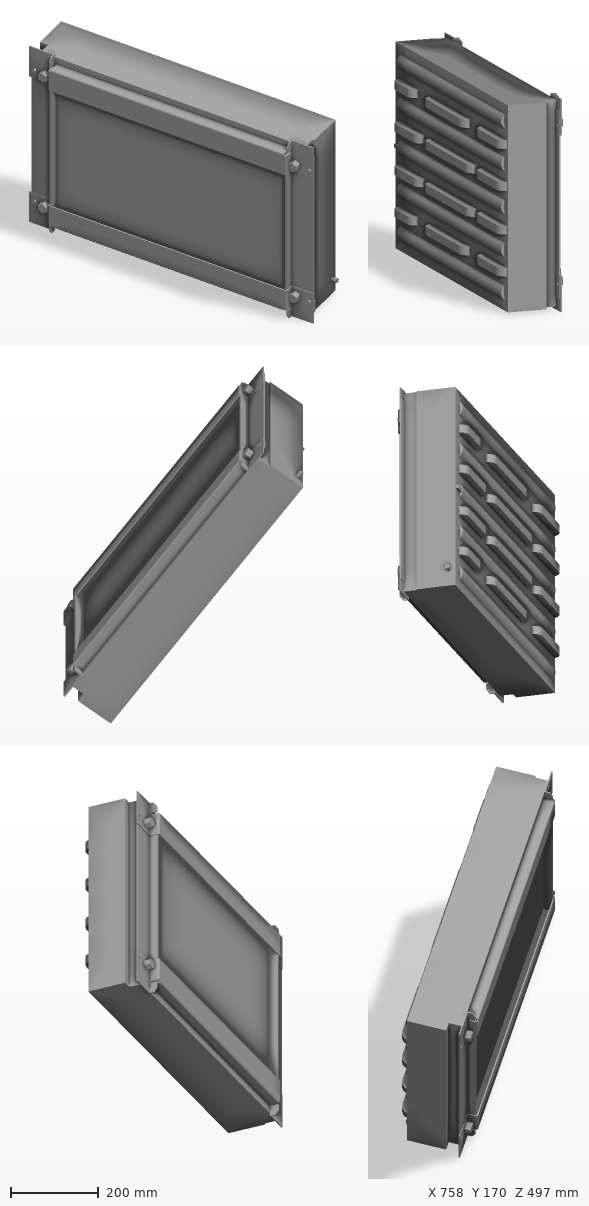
import cadquery as cq
import math

louver_back = 85.0
housing_back = 67.0
shoulder_y = -26.5
housing_front = -58.5
frame_back = -56.0
frame_front = -60.0
flange_back = housing_front
flange_front = -61.5
wall_front = -80.5
bracket_front = -85.0

housing_left, housing_right = -371.5, 359.0
neck_left, neck_right = -350.0, 354.0
housing_half_height = 241.0
frame_left, frame_right = -374.0, 377.0
frame_half_height = 219.0
flange_left = -379.0
bracket_left, bracket_right = -315.5, 320.0
overall_height = 497.0
bracket_low, bracket_high = 163.0, overall_height / 2

sheet = 3.0
frame_wall = 4.5
frame_wall_setback = 2.0
bend_radius = 4.5
lip_top = 222.0
lip_end_gap = 7.5
notch_back = -64.5
ear_top_front = -71.0
ear_front = -80.0
ear_chamfer_height = 11.0

fastener_z = 185.0
flange_hole_diameter = 11.0
frame_hole_diameter = 7.5
hole_left_x, hole_right_x = -365.5, 368.5
bolt_left_x, bolt_right_x = -335.0, 330.5
bolt_across_flats = 21.0
bolt_front = -77.0

rib_left, rib_right = neck_left, 328.0
rib_height = 8.0
rib_chord = 33.0
rib_pitch = 100.0
rib_count = 5
tab_right = 355.0
tab_height = 6.0
tab_width = 9.0
louver_end_radius = 23.0
louver_root = 7.5
louver_width = 20.0
outer_louver_z, inner_louver_z = 149.0, 51.0
outer_louver_spans = ((-367.0, -202.0), (-126.0, 135.0), (212.0, 335.0))
inner_louver_spans = ((-367.0, -202.0), (-166.0, 135.0), (172.0, 335.0))

stud_diameter = 11.0
stud_end = 373.0
stud_y = 51.5
catch_end = 379.0
catch_left = 374.5
catch_low, catch_high = -215.0, -183.5


def block(x0, x1, y0, y1, z0, z1):
    """Box given by its limits along each axis."""
    size = (x1 - x0, y1 - y0, z1 - z0)
    return cq.Workplane("XY").box(*size, centered=False).translate((x0, y0, z0))


def along_y(plane_y):
    """Sketch plane with local axes X and Z, extruding toward -Y."""
    return cq.Workplane("XZ", origin=(0, plane_y, 0))


def make_housing():
    """Deep rear box and the narrower neck in front of it."""
    h = housing_half_height
    rear = block(housing_left, housing_right, shoulder_y, housing_back, -h, h)
    neck = block(neck_left, neck_right, housing_front, shoulder_y, -h, h)
    return rear.union(neck)


def make_frame():
    """Mounting flange and forward side wall at each side of the recessed panel."""
    h = frame_half_height
    wall_left = bracket_left + frame_wall_setback
    wall_right = bracket_right - frame_wall_setback
    left = block(frame_left, wall_left, frame_front, frame_back, -h, h)
    right = block(wall_right, frame_right, frame_front, frame_back, -h, h)
    left_wall = block(wall_left, wall_left + frame_wall, wall_front, frame_back, -h, h)
    right_wall = block(wall_right - frame_wall, wall_right, wall_front, frame_back, -h, h)
    return left.union(right).union(left_wall).union(right_wall)


def make_ear(x0):
    """Bracket side wall with a chamfered outer corner."""
    outline = [
        (flange_back, bracket_low),
        (ear_front, bracket_low),
        (ear_front, bracket_high - ear_chamfer_height),
        (ear_top_front, bracket_high),
        (flange_back, bracket_high),
    ]
    return cq.Workplane("YZ", origin=(x0, 0, 0)).polyline(outline).close().extrude(sheet)


def make_bracket():
    """Upper bracket: two flanges, two ears and a front strap with a folded-back lip."""
    strap_top = lip_top - bend_radius
    inner_bend = bend_radius - sheet

    hat = block(bracket_left, bracket_right, bracket_front, flange_back, bracket_low, strap_top)
    hat = hat.edges("|Z and <Y").fillet(bend_radius)
    hollow = block(bracket_left + sheet, bracket_right - sheet, bracket_front + sheet,
                   flange_back, bracket_low, strap_top)
    hat = hat.cut(hollow.edges("|Z and <Y").fillet(inner_bend))

    lip_left = bracket_left + lip_end_gap
    lip_right = bracket_right - lip_end_gap
    lip = block(lip_left, lip_right, bracket_front, housing_front, bracket_low, lip_top)
    lip = lip.edges("|X and <Y and >Z").fillet(bend_radius)
    under_lip = block(lip_left, lip_right, bracket_front + sheet, housing_front,
                      bracket_low, lip_top - sheet)
    lip = lip.cut(under_lip.edges("|X and <Y and >Z").fillet(inner_bend))

    left_flange = block(flange_left, bracket_left + sheet, flange_front, flange_back,
                        bracket_low, bracket_high)
    right_flange = block(bracket_right - sheet, frame_right, flange_front, flange_back,
                         bracket_low, bracket_high)
    bracket = hat.union(lip).union(left_flange).union(right_flange)
    for ear_x in (bracket_left, bracket_right - sheet):
        notch = block(ear_x, ear_x + sheet, bracket_front, notch_back, strap_top, lip_top)
        bracket = bracket.union(make_ear(ear_x).cut(notch))
    return bracket


def make_bolts():
    """Hexagonal bolt heads standing on the bracket flanges, one corner pointing up."""
    corner_diameter = bolt_across_flats / math.cos(math.pi / 6)
    centers = [(x, z) for x in (bolt_left_x, bolt_right_x) for z in (-fastener_z, fastener_z)]
    hexagon = cq.Sketch().regularPolygon(corner_diameter / 2, 6)
    return (
        along_y(housing_front).pushPoints(centers)
        .placeSketch(hexagon).extrude(housing_front - bolt_front)
    )


def make_hole_cutters():
    """Clearance holes in the bracket flanges, stepping down through the frame behind them."""
    centers = [(x, z) for x in (hole_left_x, hole_right_x) for z in (-fastener_z, fastener_z)]
    frame_holes = (
        along_y(frame_back).pushPoints(centers)
        .circle(frame_hole_diameter / 2).extrude(frame_back - flange_front)
    )
    flange_holes = (
        along_y(frame_front).pushPoints(centers)
        .circle(flange_hole_diameter / 2).extrude(frame_front - flange_front)
    )
    return frame_holes.union(flange_holes)


def make_rib(z):
    """Low rounded rib running along X on the back face."""
    half = rib_chord / 2
    return (
        cq.Workplane("YZ", origin=(rib_left, 0, 0))
        .moveTo(housing_back, z - half)
        .threePointArc((housing_back + rib_height, z), (housing_back, z + half))
        .close().extrude(rib_right - rib_left)
    )


def make_louver(x0, x1, z):
    """Raised louver with both ends rounded down toward the back face."""
    half = louver_width / 2
    louver = block(x0, x1, housing_back - louver_root, louver_back, z - half, z + half)
    return louver.edges("|Z and >Y").fillet(louver_end_radius)


def make_ribs():
    """Evenly spaced ribs, with a tab continuing the middle one to the right."""
    ribs = block(rib_right, tab_right, housing_back, housing_back + tab_height,
                 -tab_width / 2, tab_width / 2)
    for index in range(rib_count):
        ribs = ribs.union(make_rib((index - (rib_count - 1) / 2) * rib_pitch))
    return ribs


def make_louvers():
    """Outer and inner rows of louvers, mirrored about the mid-height."""
    rows = ((outer_louver_z, outer_louver_spans), (inner_louver_z, inner_louver_spans))
    louvers = cq.Workplane("XY")
    for row_z, spans in rows:
        for x0, x1 in spans:
            louvers = louvers.add(make_louver(x0, x1, row_z))
            louvers = louvers.add(make_louver(x0, x1, -row_z))
    return louvers.combine()


def make_stud():
    """Round stud on the right-hand side, level with the catch."""
    stud_z = (catch_low + catch_high) / 2
    plane = cq.Workplane("YZ", origin=(housing_right, stud_y, stud_z))
    return plane.circle(stud_diameter / 2).extrude(stud_end - housing_right)


def make_catch():
    """Small catch projecting past the right-hand edge of the frame."""
    return block(catch_left, catch_end, frame_front, frame_back, catch_low, catch_high)


upper_bracket = make_bracket()
lower_bracket = upper_bracket.mirror("XY")

result = make_housing().union(make_frame())
result = result.union(upper_bracket).union(lower_bracket).union(make_bolts())
result = result.cut(make_hole_cutters())
result = result.union(make_ribs()).union(make_louvers())
result = result.union(make_stud()).union(make_catch())